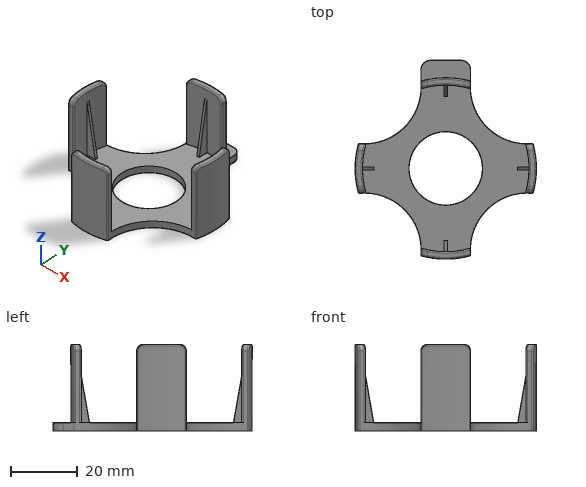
import cadquery as cq
import math

outer_radius = 27.25
wall_inner_radius = 25.0
wall_height = 26.0
base_thickness = 2.5
bore_diameter = 22.0
arm_width = 15.0

half_arm = arm_width / 2
arm_corner_reach = math.sqrt(outer_radius**2 - half_arm**2)

scallop_radius = 17.0
corner_chord = math.sqrt(2) * (arm_corner_reach - half_arm)
chord_mid_distance = (arm_corner_reach + half_arm) / math.sqrt(2)
scallop_center_radius = chord_mid_distance + math.sqrt(scallop_radius**2 - (corner_chord / 2) ** 2)
scallop_center = scallop_center_radius / math.sqrt(2)

tab_reach = 32.5
tab_corner_radius = 3.0

wall_corner_radius = 2.0
wall_edge_radius = 0.5
wall_angles = (0, 90, 180, 270)

rib_thickness = 1.0
rib_foot_radius = 21.6
rib_top_height = 22.0

mid_wall_radius = (outer_radius + wall_inner_radius) / 2


def around_axis(body, angle):
    """Turn a body about the central vertical axis."""
    return body.rotate((0, 0, 0), (0, 0, 1), angle)


def make_scallops():
    """Four full-height cylinders that leave four waisted arms between them."""
    return (
        cq.Workplane("XY")
        .rect(2 * scallop_center, 2 * scallop_center, forConstruction=True)
        .vertices()
        .circle(scallop_radius)
        .extrude(wall_height)
    )


def make_base():
    """Scalloped round plate with a central bore, ending inside the walls."""
    disc = cq.Workplane("XY").circle(mid_wall_radius).circle(bore_diameter / 2).extrude(base_thickness)
    return disc.cut(make_scallops())


def make_tab():
    """Flat tab with rounded corners that carries the +Y arm out past its wall."""
    tab_length = tab_reach - wall_inner_radius
    return (
        cq.Workplane("XY")
        .center(0, tab_reach - tab_length / 2)
        .rect(arm_width, tab_length)
        .extrude(base_thickness)
        .edges("|Z and >Y")
        .fillet(tab_corner_radius)
        .cut(make_scallops())
    )


def make_wall():
    """Curved upright on the +X side with rounded top corners and softened edges."""
    ring = cq.Workplane("XY").circle(outer_radius).circle(wall_inner_radius).extrude(wall_height)
    blank = cq.Workplane(ring.cut(make_scallops()).solids(">X").val())
    wall = blank.faces(">Z").edges(">Y or <Y").fillet(wall_corner_radius)
    mid_height = wall_height / 2
    outer_face = wall.faces(cq.NearestToPointSelector((outer_radius, 0, mid_height)))
    inner_face = wall.faces(cq.NearestToPointSelector((wall_inner_radius, 0, mid_height)))
    face_edges = outer_face.edges("not <Z").vals() + inner_face.edges("not <Z").vals()
    return wall.newObject(face_edges).fillet(wall_edge_radius)


def make_rib():
    """Tapered rib bracing the inside of the +X wall."""
    return (
        cq.Workplane("XZ")
        .moveTo(rib_foot_radius, base_thickness)
        .lineTo(mid_wall_radius, base_thickness)
        .lineTo(mid_wall_radius, rib_top_height)
        .lineTo(wall_inner_radius, rib_top_height)
        .close()
        .extrude(rib_thickness / 2, both=True)
    )


result = make_base().union(make_tab())
upright = make_wall().union(make_rib())
for wall_angle in wall_angles:
    result = result.union(around_axis(upright, wall_angle))